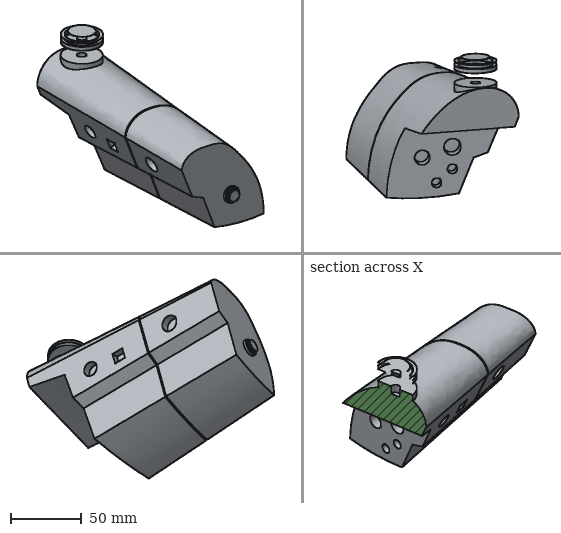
import cadquery as cq
import math

housing_length = 160.5
front_housing_end = 97.4
housing_gap = 1.0

step_top = (13.4, 32.0)
step_bottom = (23.3, 28.4)
lower_front_corner = (33.5, 2.6)
lowest_point = (60.2, 0)

left_crown = [(0, 64.5), (3.0, 75.4), (11.5, 84.0), (24.1, 87.1), (42.2, 83.5), (60.7, 70.6),
              (72.1, 57.3), (81.2, 36.3), (85.8, 13.9), (86.8, 1.0)]
right_crown = [(4.0, 55.0), (7.0, 61.5), (15.3, 66.5), (26.0, 67.6), (40.3, 65.8), (56.1, 53.1),
               (64.0, 43.2), (73.0, 27.2), (77.2, 10.5), (77.9, 1.0)]

underside_end_z = 57.3
underside_wall_z = 51.3
end_wall_x = 28.4
end_wall_x_per_y = 0.19
relief_margin = 16.5
end_wall_angle = math.degrees(math.atan(end_wall_x_per_y))

end_wall_holes = [(38.1, 36.8, 12.0, 9.0), (59.2, 29.5, 10.7, 9.0), (38.1, 20.8, 7.0, 7.5), (49.2, 10.9, 7.0, 7.5)]

front_hole_x = 50.3
front_hole_z = 44.7
front_hole_diameter = 10.7
rear_hole_x = 120.1
rear_hole_z = 43.9
rear_hole_diameter = 12.0
front_hole_depth = 6.6
window_x = 74.5
window_z = 42.2
window_width = 8.7
window_height = 8.2
window_depth = 6.0

button_x = 16.8
button_y = 26.9
boss_top_z = 87.3
button_tilt = 1.0
button_diameter = 30.0
boss_depth = 23.1
stem_diameter = 7.0
stem_hole_depth = 6.6
collar_diameter = 24.6
sheet = 0.2
button_floor = 10.0
button_shoulder = 13.2
button_rim = 16.2
disc_top = 18.8
disc_diameter = 20.1

spigot_y = 48.0
spigot_z = 24.5
spigot_diameter = 9.0
spigot_engagement = 6.6
end_spigot_steps = [(12.4, 2.0), (10.0, 3.0), (spigot_diameter, 4.5)]


def end_section(crown, x):
    """Closed outline of the housing in the plane at x."""
    def at(point):
        return cq.Vector(x, *point)

    seam = crown[0]
    back_edge = crown[-1]
    return cq.Wire.assembleEdges([
        cq.Edge.makeSpline([at(point) for point in crown]),
        cq.Edge.makeThreePointArc(at(back_edge), at(lowest_point), at(lower_front_corner)),
        cq.Edge.makeLine(at(lower_front_corner), at(step_bottom)),
        cq.Edge.makeLine(at(step_bottom), at(step_top)),
        cq.Edge.makeLine(at(step_top), at(seam)),
    ])


def relief_section(y):
    """Outline of the space under the overhang in the plane at y."""
    wall_x = end_wall_x + end_wall_x_per_y * y
    corners = [
        (-relief_margin, -relief_margin),
        (wall_x, -relief_margin),
        (wall_x, underside_wall_z),
        (0, underside_end_z),
        (-relief_margin, underside_end_z),
    ]
    return cq.Wire.makePolygon([cq.Vector(x, y, z) for x, z in corners], close=True)


def overhang_relief():
    """Space below the sloped underside and left of the slanted end wall."""
    y_far = left_crown[-1][0] + relief_margin
    sections = [relief_section(-relief_margin), relief_section(y_far)]
    return cq.Workplane(cq.Solid.makeLoft(sections, True))


def housing_blank():
    """Full-length tapered housing before it is split in two."""
    sections = [end_section(left_crown, 0), end_section(right_crown, housing_length)]
    return cq.Workplane(cq.Solid.makeLoft(sections, True))


def x_slab(x_start, x_end):
    """Block that keeps only the stretch of housing from x_start to x_end."""
    size = 2 * housing_length
    return cq.Workplane("YZ", origin=(x_start, 0, 0)).rect(size, size).extrude(x_end - x_start)


def front_face_plane(x, z):
    """Plane on the sloping front face, with its normal pointing into the housing."""
    seam_y, seam_z = left_crown[0]
    run = step_top[0] - seam_y
    drop = seam_z - step_top[1]
    y = seam_y + run * (seam_z - z) / drop
    return cq.Plane(origin=(x, y, z), xDir=(1, 0, 0), normal=(0, drop, run))


def front_face_hole(x, z, diameter):
    hole = cq.Workplane(front_face_plane(x, z)).circle(diameter / 2)
    return hole.extrude(front_hole_depth, both=True)


def window_pocket():
    outline = cq.Workplane(front_face_plane(window_x, window_z)).rect(window_width, window_height)
    return outline.extrude(window_depth, both=True)


def end_wall_hole(y, z, diameter, depth):
    """Blind hole square to the slanted end wall."""
    plane = cq.Plane(
        origin=(end_wall_x + end_wall_x_per_y * y, y, z),
        xDir=(0, 0, 1),
        normal=(math.cos(math.radians(end_wall_angle)), -math.sin(math.radians(end_wall_angle)), 0),
    )
    return cq.Workplane(plane).circle(diameter / 2).extrude(depth, both=True)


def button_plane(height=0):
    """Plane across the button axis at a height above the boss top."""
    tilt = math.radians(button_tilt)
    axis = cq.Vector(math.sin(tilt), 0, math.cos(tilt))
    origin = cq.Vector(button_x, button_y, boss_top_z) + axis * height
    return cq.Plane(origin=origin, xDir=(math.cos(tilt), 0, -math.sin(tilt)), normal=axis)


def spigot(x_start, x_end, diameter):
    plane = cq.Workplane("YZ", origin=(x_start, spigot_y, spigot_z))
    return plane.circle(diameter / 2).extrude(x_end - x_start)


def joint_spigot():
    """Spigot that bridges the gap and sits in the front housing."""
    return spigot(front_housing_end - spigot_engagement, front_housing_end + housing_gap, spigot_diameter)


def make_front_housing():
    body = housing_blank().intersect(x_slab(0, front_housing_end)).cut(overhang_relief())
    boss = cq.Workplane(button_plane()).circle(button_diameter / 2).extrude(-boss_depth)
    body = body.union(boss)
    body = body.cut(cq.Workplane(button_plane()).circle(stem_diameter / 2).extrude(-stem_hole_depth))
    for hole in end_wall_holes:
        body = body.cut(end_wall_hole(*hole))
    body = body.cut(front_face_hole(front_hole_x, front_hole_z, front_hole_diameter))
    return body.cut(window_pocket()).cut(joint_spigot())


def make_rear_housing():
    body = housing_blank().intersect(x_slab(front_housing_end + housing_gap, housing_length))
    body = body.cut(front_face_hole(rear_hole_x, rear_hole_z, rear_hole_diameter))
    body = body.union(joint_spigot())
    for diameter, reach in end_spigot_steps:
        body = body.union(spigot(housing_length, housing_length + reach, diameter))
    return body


def make_button():
    """Thin-walled hollow button with a floor, a necked collar, an open rim and a central stem."""
    outer = button_diameter / 2
    collar = collar_diameter / 2
    bore = collar - sheet
    profile = [
        (0, button_floor),
        (outer, button_floor),
        (outer, button_shoulder),
        (collar, button_shoulder),
        (collar, button_rim - sheet),
        (outer, button_rim - sheet),
        (outer, button_rim),
        (bore, button_rim),
        (bore, button_shoulder - sheet),
        (outer - sheet, button_shoulder - sheet),
        (outer - sheet, button_floor + sheet),
        (stem_diameter / 2, button_floor + sheet),
        (stem_diameter / 2, button_shoulder),
        (0, button_shoulder),
    ]
    base = button_plane()
    section = cq.Plane(origin=base.origin, xDir=base.xDir, normal=base.yDir * -1)
    return cq.Workplane(section).polyline(profile).close().revolve(360, (0, 0), (0, 1))


def make_button_disc():
    return cq.Workplane(button_plane(disc_top)).circle(disc_diameter / 2).extrude(-sheet)


front_housing = make_front_housing()
rear_housing = make_rear_housing()
button = make_button()
button_disc = make_button_disc()

result = cq.Compound.makeCompound([
    front_housing.val(),
    rear_housing.val(),
    button.val(),
    button_disc.val(),
])